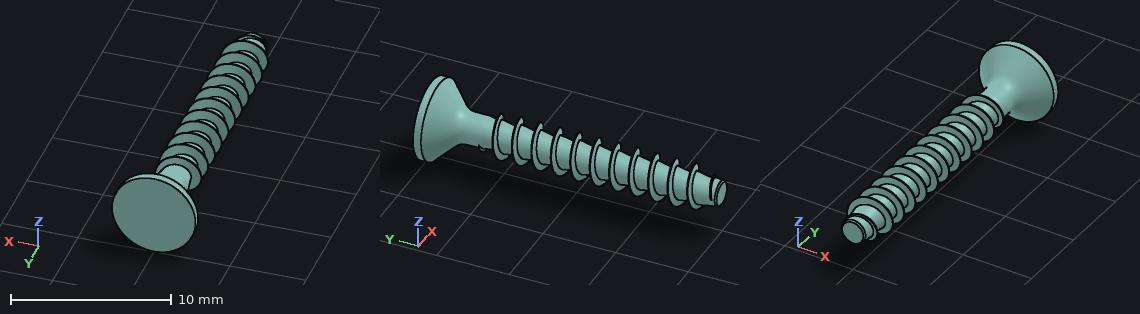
import cadquery as cq
import math


length = 20.0
head_radius = 5.5 / 2
rim_thickness = 0.55
neck_fillet = 1.2
shank_radius = 2.15 / 2
shank_end = 3.75

core_radius = 0.88
shoulder_end = 4.8
tip_radius = 0.78

pitch = 1.35
thread_radius = 1.5
thread_start = 3.6
thread_start_angle = 180.0
start_radius = 1.18
end_radius = 0.9
lead_root_radius = 1.05
end_root_radius = 0.88
trail_root_radius = 0.85
buried_radius = 0.8
crest_half_width = 0.05 / 2
flank_angle = math.radians(14)
ridge_to_root_end = 1.12
growing_turns = 1.0
full_turns = 9.9
fading_turns = 1.1


def make_body():
    """Head, 45 degree countersink, filleted neck, shank and core as one revolved solid."""
    arc_angle = math.radians(45)
    cone_end_radius = shank_radius + neck_fillet * (1 - math.cos(arc_angle))
    cone_end = rim_thickness + head_radius - cone_end_radius
    neck_end = cone_end + neck_fillet * math.sin(arc_angle)
    arc_middle = (
        shank_radius + neck_fillet * (1 - math.cos(arc_angle / 2)),
        neck_end - neck_fillet * math.sin(arc_angle / 2),
    )
    return (
        cq.Workplane("XZ")
        .lineTo(head_radius, 0)
        .lineTo(head_radius, rim_thickness)
        .lineTo(cone_end_radius, cone_end)
        .threePointArc(arc_middle, (shank_radius, neck_end))
        .lineTo(shank_radius, shank_end)
        .lineTo(core_radius, shoulder_end)
        .lineTo(core_radius, length - (core_radius - tip_radius))
        .lineTo(tip_radius, length)
        .lineTo(0, length)
        .close()
        .revolve(360, (0, 0, 0), (0, 1, 0))
    )


def thread_profile(turn, crest_radius, root_radius):
    """Corners (radius, height) of the thread section after the given number of turns."""
    height = thread_start + turn * pitch

    def flank_offset(radius):
        return crest_half_width + (crest_radius - radius) * math.tan(flank_angle)

    return [
        (buried_radius, height - flank_offset(buried_radius)),
        (crest_radius, height - crest_half_width),
        (crest_radius, height + crest_half_width),
        (root_radius, height + flank_offset(root_radius)),
        (trail_root_radius, height + ridge_to_root_end),
        (buried_radius, height + ridge_to_root_end),
    ]


def helix_between(start, end, turns, start_turn):
    """Helix that winds from one profile corner to the matching corner some turns later."""
    rise = end[1] - start[1]
    cone_angle = math.atan2(end[0] - start[0], rise)
    slant = rise / math.cos(cone_angle)
    if cone_angle == 0:
        helix = cq.Wire.makeHelix(rise / turns, rise, start[0])
    else:
        helix = cq.Wire.makeHelix(slant / turns, slant, start[0], angle=math.degrees(cone_angle))
    turned = helix.rotate(
        cq.Vector(0, 0, 0), cq.Vector(0, 0, 1), thread_start_angle + 360 * start_turn
    )
    return turned.translate(cq.Vector(0, 0, start[1])).Edges()[0]


def end_cap(profile, turn):
    """Flat face that closes the thread in the axial plane at the given turn."""
    angle = math.radians(thread_start_angle + 360 * turn)
    corners = [cq.Vector(r * math.cos(angle), r * math.sin(angle), z) for r, z in profile]
    return cq.Face.makeFromWires(cq.Wire.makePolygon(corners, close=True))


def make_thread():
    """Thread that grows over its first turn, runs at full height and fades at the tip."""
    full_start = growing_turns
    full_end = full_start + full_turns
    thread_end = full_end + fading_turns
    stations = [
        (0, thread_profile(0, start_radius, lead_root_radius)),
        (full_start, thread_profile(full_start, thread_radius, lead_root_radius)),
        (full_end, thread_profile(full_end, thread_radius, lead_root_radius)),
        (thread_end, thread_profile(thread_end, end_radius, end_root_radius)),
    ]
    faces = [end_cap(profile, turn) for turn, profile in (stations[0], stations[-1])]
    for (turn, profile), (next_turn, next_profile) in zip(stations, stations[1:]):
        helices = [
            helix_between(start, end, next_turn - turn, turn)
            for start, end in zip(profile, next_profile)
        ]
        for edge, next_edge in zip(helices, helices[1:] + helices[:1]):
            faces.append(cq.Face.makeRuledSurface(edge, next_edge))
    return cq.Workplane(cq.Solid.makeSolid(cq.Shell.makeShell(faces)))


thread_zone = (
    cq.Workplane("XY")
    .workplane(offset=shank_end)
    .circle(head_radius)
    .extrude(length - shank_end)
    .faces(">Z")
    .chamfer(head_radius - tip_radius)
)
thread = make_thread().intersect(thread_zone)
screw = make_body().union(thread)
result = screw.rotate((0, 0, 0), (1, 0, 0), 90)